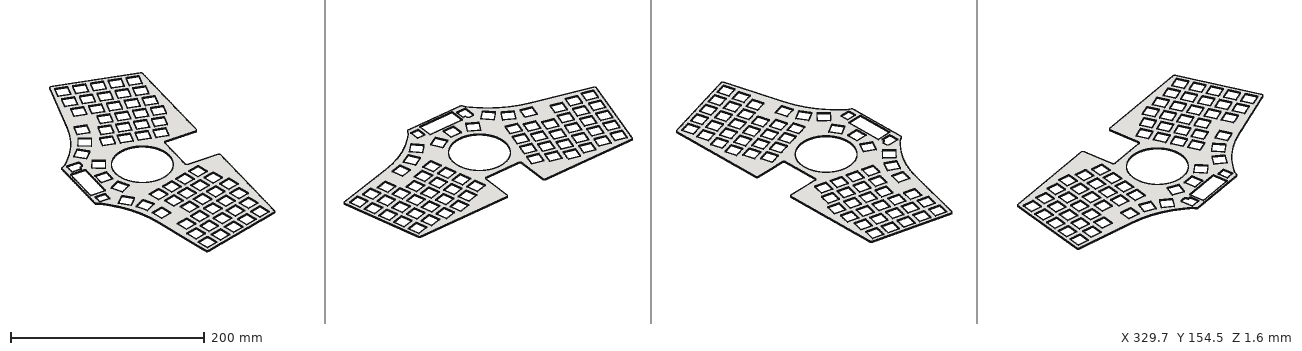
import cadquery as cq
import math

WIDTH = 329.7
DEPTH = 154.5
THICKNESS = 1.6
SPLAY = 15.0
HALF_WIDTH = WIDTH / 2
TOP_Y = DEPTH / 2
BOTTOM_Y = -DEPTH / 2
COS_SPLAY = math.cos(math.radians(SPLAY))
SIN_SPLAY = math.sin(math.radians(SPLAY))
TAN_SPLAY = SIN_SPLAY / COS_SPLAY

CORNER_RADIUS = 2.0
NOTCH_HALF_WIDTH = 23.5
NOTCH_DEPTH = 40.0
WING_CORNER_Y = -18.0
FOOT_HALF_WIDTH = 35.3
FOOT_SIDE_WIDTH = 3.0
FOOT_SIDE_HEIGHT = 5.3
SWEEP_RADIUS = 112.0

KEY_SIDE = 14.0
COLUMN_SPAN = 76.2
KEY_PITCH = COLUMN_SPAN / 4
OUTER_COLUMN = 143.8
COLUMNS = [(27.5, 5), (29.7, 5), (34.5, 5), (38.5, 4), (34.5, 4), (31.3, 4)]
THUMB_KEYS = [(83.5, -25.7, 15), (63.3, -34.0, 30), (46.8, -46.8, 45), (22.5, -40.5, 30)]
CENTRE_KEY_Y = -47.0

BALL_DIAMETER = 64.0
BALL_Y = -1.3

DISPLAY_WIDTH = 42.5
DISPLAY_HEIGHT = 17.8
DISPLAY_Y = -66.0
SOCKET_X = 30.3
SOCKET_Y = -66.0
SOCKET_WIDTH = 10.0
SOCKET_HEIGHT = 12.0
SWITCH_LEFT = -36.0
SWITCH_BOTTOM = -71.2
SWITCH_WIDTH = 12.0
SWITCH_HEIGHT = 11.2
SWITCH_TAB_WIDTH = 8.5
SWITCH_TAB_HEIGHT = 4.0
SWITCH_TAB_RADIUS = 2.3


def to_plate(across, along):
    """Convert splayed key-field coordinates of the +X half into plate X and Y."""
    x = across * COS_SPLAY - along * SIN_SPLAY
    y = across * SIN_SPLAY + along * COS_SPLAY
    return x, y


def round_corners(body, corners, radius):
    """Fillet the vertical edges at the given +X corners and at their mirror images."""
    edges = []
    for x, y in corners:
        for side in (1, -1):
            nearest = cq.selectors.NearestToPointSelector((side * x, y, THICKNESS / 2))
            edges.append(body.edges("|Z").edges(nearest).val())
    return body.newObject(edges).fillet(radius)


def make_plate():
    """Build the outline from its +X half and that half's mirror image, then round its corners."""
    wing_x = HALF_WIDTH + CORNER_RADIUS * (COS_SPLAY + SIN_SPLAY - 1)
    shoulder_x = wing_x - (TOP_Y - WING_CORNER_Y) * TAN_SPLAY
    flank_x = FOOT_HALF_WIDTH + FOOT_SIDE_WIDTH
    flank_y = BOTTOM_Y + FOOT_SIDE_HEIGHT
    wing_edge_at_axis = WING_CORNER_Y - wing_x * TAN_SPLAY
    sweep_x = (wing_edge_at_axis - flank_y + flank_x) / (1 - TAN_SPLAY)
    sweep_y = flank_y + sweep_x - flank_x

    notch_floor = (NOTCH_HALF_WIDTH, TOP_Y - NOTCH_DEPTH)
    notch_mouth = (NOTCH_HALF_WIDTH, TOP_Y)
    shoulder = (shoulder_x, TOP_Y)
    wing = (wing_x, WING_CORNER_Y)
    sweep = (sweep_x, sweep_y)
    flank = (flank_x, flank_y)
    foot = (FOOT_HALF_WIDTH, BOTTOM_Y)

    right_side = [notch_floor, notch_mouth, shoulder, wing, sweep, flank, foot]
    left_side = [(-x, y) for x, y in reversed(right_side)]
    plate = cq.Workplane("XY").polyline(right_side + left_side).close().extrude(THICKNESS)

    plate = round_corners(plate, [notch_floor, notch_mouth, shoulder, wing], CORNER_RADIUS)
    return round_corners(plate, [sweep], SWEEP_RADIUS)


def window(x, y, width, height, rotation=0):
    """Rectangular cutter through the plate, centred on (x, y) and turned by rotation degrees."""
    box = cq.Workplane("XY").rect(width, height).extrude(THICKNESS)
    return box.rotate((0, 0, 0), (0, 0, 1), rotation).translate((x, y, 0))


def key_places():
    """List (x, y, rotation) for every key on the +X half."""
    places = list(THUMB_KEYS)
    for column, (top_key, count) in enumerate(COLUMNS):
        across = OUTER_COLUMN - column * KEY_PITCH
        for row in range(count):
            x, y = to_plate(across, top_key - row * KEY_PITCH)
            places.append((x, y, SPLAY))
    return places


def switch_window():
    """Slide-switch opening: a rectangle with a round-cornered tab at its upper left."""
    body = (
        cq.Workplane("XY")
        .rect(SWITCH_WIDTH, SWITCH_HEIGHT, centered=False)
        .extrude(THICKNESS)
    )
    tab = (
        cq.Workplane("XY")
        .rect(SWITCH_TAB_WIDTH, SWITCH_HEIGHT + SWITCH_TAB_HEIGHT, centered=False)
        .extrude(THICKNESS)
        .edges("|Z and >Y")
        .fillet(SWITCH_TAB_RADIUS)
    )
    return body.union(tab).translate((SWITCH_LEFT, SWITCH_BOTTOM, 0))


result = make_plate()

for key_x, key_y, key_rotation in key_places():
    for half in (1, -1):
        result = result.cut(window(half * key_x, key_y, KEY_SIDE, KEY_SIDE, half * key_rotation))
result = result.cut(window(0, CENTRE_KEY_Y, KEY_SIDE, KEY_SIDE))

ball_opening = cq.Workplane("XY").center(0, BALL_Y).circle(BALL_DIAMETER / 2).extrude(THICKNESS)
result = result.cut(ball_opening)

result = result.cut(window(0, DISPLAY_Y, DISPLAY_WIDTH, DISPLAY_HEIGHT))
result = result.cut(window(SOCKET_X, SOCKET_Y, SOCKET_WIDTH, SOCKET_HEIGHT))
result = result.cut(switch_window())